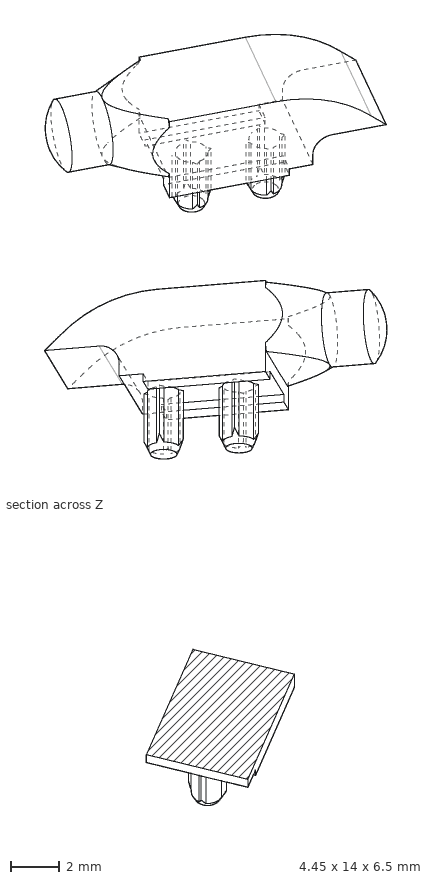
import cadquery as cq
import math


width = 4.45
length = 14.03
height = 6.5

head_diameter = 3.1
head_radius = head_diameter / 2
head_axis_z = -head_radius
dome_height = 0.61
head_length = 1.78
neck_length = 2.24
neck_base_radius = 2.55

body_front_y = dome_height + head_length + neck_length
top_flat_end_y = 9.24
claw_underside_z = -2.33
claw_angle = math.radians(45)
claw_arc_radius = 5.85
shoulder_y = 10.85
shoulder_fillet_radius = 0.85

body_floor_z = -3.73
rail_height = 0.34
rail_end_y = 9.83
rail_gap = 2.65

pin_positions_y = (6.25, 9.45)
pin_core_radius = 0.68
pin_rib_radius = 0.84
pin_rib_half_width = 0.155
pin_rib_count = 4
pin_tip_radius = 0.55
pin_taper_height = 0.62
pin_root_overlap = 0.3


def make_body():
    """Side outline, extruded symmetrically across the full width."""
    claw_arc_end = (
        top_flat_end_y + claw_arc_radius * math.sin(claw_angle),
        -claw_arc_radius * (1 - math.cos(claw_angle)),
    )
    claw_arc_middle = (
        top_flat_end_y + claw_arc_radius * math.sin(claw_angle / 2),
        -claw_arc_radius * (1 - math.cos(claw_angle / 2)),
    )
    rail_bottom_z = body_floor_z - rail_height
    fillet_start = (shoulder_y + shoulder_fillet_radius, claw_underside_z)
    fillet_end = (shoulder_y, claw_underside_z - shoulder_fillet_radius)
    return (
        cq.Workplane("YZ")
        .moveTo(body_front_y, 0)
        .lineTo(top_flat_end_y, 0)
        .threePointArc(claw_arc_middle, claw_arc_end)
        .lineTo(length, claw_underside_z)
        .lineTo(*fillet_start)
        .radiusArc(fillet_end, -shoulder_fillet_radius)
        .lineTo(shoulder_y, body_floor_z)
        .lineTo(rail_end_y, body_floor_z)
        .lineTo(rail_end_y, rail_bottom_z)
        .lineTo(body_front_y, rail_bottom_z)
        .close()
        .extrude(width / 2, both=True)
    )


def make_rail_gap():
    """Block that clears the space between the two rails."""
    gap = cq.Workplane("XY").box(rail_gap, length, rail_height, centered=(True, False, False))
    return gap.translate((0, 0, body_floor_z - rail_height))


def make_head():
    """Domed head with a flared neck, trimmed to the width and head height."""
    dome_radius = (head_radius**2 + dome_height**2) / (2 * dome_height)
    dome_mid_angle = math.asin(head_radius / dome_radius) / 2
    dome_middle = (
        dome_radius * math.sin(dome_mid_angle),
        dome_radius * (1 - math.cos(dome_mid_angle)),
    )
    revolved = (
        cq.Workplane("XY")
        .moveTo(0, 0)
        .threePointArc(dome_middle, (head_radius, dome_height))
        .lineTo(head_radius, dome_height + head_length)
        .lineTo(neck_base_radius, body_front_y)
        .lineTo(0, body_front_y)
        .close()
        .revolve(360, (0, 0, 0), (0, 1, 0))
    )
    envelope = cq.Workplane("XY").box(
        width, body_front_y, head_diameter, centered=(True, False, True)
    )
    return revolved.intersect(envelope).translate((0, 0, head_axis_z))


def make_pin(center_y):
    """Round pin with pointed lengthwise ribs and a tapered tip."""
    pin_length = height + body_floor_z + pin_root_overlap
    rib_root = math.sqrt(pin_core_radius**2 - pin_rib_half_width**2)
    rib = (
        cq.Workplane("XY")
        .polyline([
            (0, -pin_rib_half_width),
            (rib_root, -pin_rib_half_width),
            (pin_rib_radius, 0),
            (rib_root, pin_rib_half_width),
            (0, pin_rib_half_width),
        ])
        .close()
        .extrude(pin_length)
    )
    pin = cq.Workplane("XY").circle(pin_core_radius).extrude(pin_length)
    for index in range(pin_rib_count):
        pin = pin.union(rib.rotate((0, 0, 0), (0, 0, 1), index * 360 / pin_rib_count))
    tapered_envelope = (
        cq.Workplane("XZ")
        .polyline([
            (0, 0),
            (pin_tip_radius, 0),
            (pin_rib_radius, pin_taper_height),
            (pin_rib_radius, pin_length),
            (0, pin_length),
        ])
        .close()
        .revolve(360, (0, 0, 0), (0, 1, 0))
    )
    return pin.intersect(tapered_envelope).translate((0, center_y, -height))


result = make_body().cut(make_rail_gap()).union(make_head())
for pin_y in pin_positions_y:
    result = result.union(make_pin(pin_y))